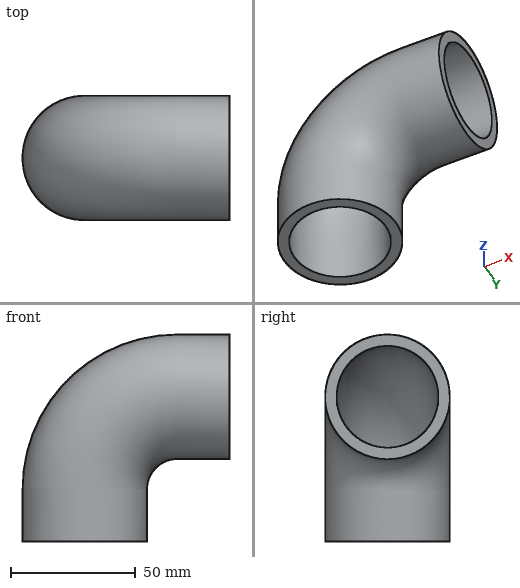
import cadquery as cq

outer_diameter = 50.0
bore_diameter = 40.8
overall_length = 83.0
spigot_length = 21.0

bend_radius = overall_length - outer_diameter / 2 - spigot_length


def swept_elbow(diameter):
    """Solid round bar: up along Z, through a quarter bend, out along +X."""
    radius = diameter / 2
    lower_leg = cq.Workplane("XY").circle(radius).extrude(spigot_length)
    bend = (
        cq.Workplane("XY", origin=(0, 0, spigot_length))
        .circle(radius)
        .revolve(90, (bend_radius, 0, 0), (bend_radius, 1, 0))
    )
    upper_leg = (
        cq.Workplane("YZ", origin=(bend_radius, 0, spigot_length + bend_radius))
        .circle(radius)
        .extrude(spigot_length)
    )
    return lower_leg.union(bend).union(upper_leg)


result = swept_elbow(outer_diameter).cut(swept_elbow(bore_diameter))